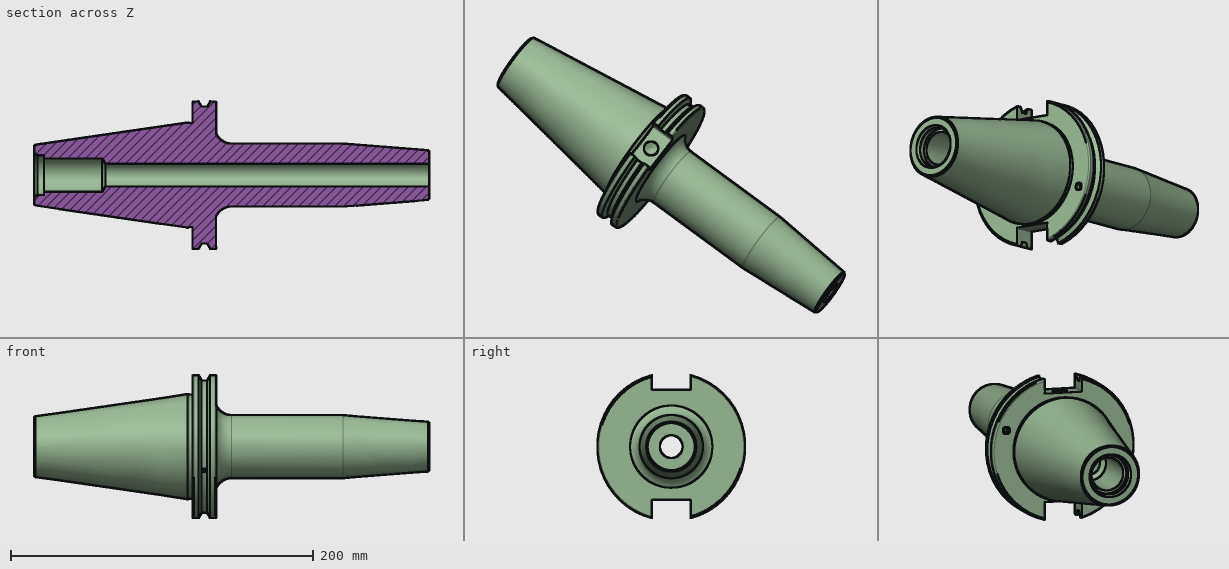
import cadquery as cq
import math


DRILL_POINT_ANGLE = 118.0

GAUGE_DIA = 69.85
TAPER_RATIO = 7 / 24
TAPER_LENGTH = 101.6
TAPER_REAR_CHAMFER = 0.8
RELIEF_DIA = 69.25
RELIEF_START_X = 1.0

FLANGE_DIA = 98.1
FLANGE_REAR_X = 3.1
FLANGE_FRONT_X = 19.05
FLANGE_EDGE_RADIUS = 1.0
GROOVE_CENTER_X = 11.1
GROOVE_FLOOR_WIDTH = 3.7
GROOVE_FLOOR_DIA = 91.3
GROOVE_FLANK_ANGLE = 30.0

PROJECTION = 160.0
NOSE_DIA = 42.0
NOSE_FILLET_RADIUS = 11.0
NOSE_FILLET_DIA = 54.5
NOSE_CONE_X = 102.8
NOSE_TIP_DIA = 33.2
NOSE_TIP_CHAMFER = 1.0

BORE_DIA = 14.92
THREAD_BORE_DIA = 21.97
THREAD_BORE_DEPTH = 45.0
COUNTERBORE_DIA = 26.2
COUNTERBORE_DEPTH = 6.5
COUNTERBORE_MOUTH_DIA = 28.8
COUNTERBORE_MOUTH_ANGLE = 30.0

SLOT_WIDTH = 25.7
SLOT_CORNER_RADIUS = 0.5
UPPER_SLOT_FLOOR_Z = 37.7
LOWER_SLOT_FLOOR_Z = -35.3
DIMPLE_DIA = 9.53
DIMPLE_DEPTH = 1.0

COOLANT_CIRCLE_DIA = 84.0
COOLANT_ANGLE = 20.0
COOLANT_DIA = 4.2
COOLANT_MOUTH_DIA = 5.0
COOLANT_SEAT_DEPTH = 4.0
COOLANT_INNER_DIA = 3.24
COOLANT_DEPTH = 10.0
OUTLET_DIA = 2.5


def drill_point_depth(radius):
    """Axial length of a drill-point cone over the given radial step."""
    return radius / math.tan(math.radians(DRILL_POINT_ANGLE / 2))


def make_body():
    """Turned outside of the holder: taper, relief, grooved flange and nose."""
    rear_x = -TAPER_LENGTH
    rear_radius = (GAUGE_DIA - TAPER_LENGTH * TAPER_RATIO) / 2
    taper_slope = TAPER_RATIO / 2
    flange_radius = FLANGE_DIA / 2
    groove_floor_radius = GROOVE_FLOOR_DIA / 2
    groove_half_floor = GROOVE_FLOOR_WIDTH / 2
    groove_depth = flange_radius - groove_floor_radius
    groove_half_mouth = groove_half_floor + groove_depth * math.tan(math.radians(GROOVE_FLANK_ANGLE))
    nose_radius = NOSE_DIA / 2
    fillet_start_radius = NOSE_FILLET_DIA / 2
    tip_radius = NOSE_TIP_DIA / 2

    fillet_center_radius = nose_radius + NOSE_FILLET_RADIUS
    start_angle = math.asin((fillet_center_radius - fillet_start_radius) / NOSE_FILLET_RADIUS)
    fillet_end_x = FLANGE_FRONT_X + NOSE_FILLET_RADIUS * math.cos(start_angle)
    middle_angle = (start_angle + math.pi / 2) / 2
    fillet_middle = (
        fillet_end_x - NOSE_FILLET_RADIUS * math.cos(middle_angle),
        fillet_center_radius - NOSE_FILLET_RADIUS * math.sin(middle_angle),
    )
    return (
        cq.Workplane("XY")
        .moveTo(rear_x, 0)
        .lineTo(rear_x, rear_radius - TAPER_REAR_CHAMFER)
        .lineTo(rear_x + TAPER_REAR_CHAMFER, rear_radius + TAPER_REAR_CHAMFER * taper_slope)
        .lineTo(0, GAUGE_DIA / 2)
        .lineTo(RELIEF_START_X, RELIEF_DIA / 2)
        .lineTo(FLANGE_REAR_X, RELIEF_DIA / 2)
        .lineTo(FLANGE_REAR_X, flange_radius - FLANGE_EDGE_RADIUS)
        .radiusArc((FLANGE_REAR_X + FLANGE_EDGE_RADIUS, flange_radius), FLANGE_EDGE_RADIUS)
        .lineTo(GROOVE_CENTER_X - groove_half_mouth, flange_radius)
        .lineTo(GROOVE_CENTER_X - groove_half_floor, groove_floor_radius)
        .lineTo(GROOVE_CENTER_X + groove_half_floor, groove_floor_radius)
        .lineTo(GROOVE_CENTER_X + groove_half_mouth, flange_radius)
        .lineTo(FLANGE_FRONT_X - FLANGE_EDGE_RADIUS, flange_radius)
        .radiusArc((FLANGE_FRONT_X, flange_radius - FLANGE_EDGE_RADIUS), FLANGE_EDGE_RADIUS)
        .lineTo(FLANGE_FRONT_X, fillet_start_radius)
        .threePointArc(fillet_middle, (fillet_end_x, nose_radius))
        .lineTo(NOSE_CONE_X, nose_radius)
        .lineTo(PROJECTION - NOSE_TIP_CHAMFER, tip_radius)
        .lineTo(PROJECTION, tip_radius - NOSE_TIP_CHAMFER)
        .lineTo(PROJECTION, 0)
        .close()
        .revolve(360, (0, 0, 0), (1, 0, 0))
    )


def make_bore():
    """Through bore with the stepped, countersunk rear end."""
    rear_x = -TAPER_LENGTH
    mouth_step = (COUNTERBORE_MOUTH_DIA - COUNTERBORE_DIA) / 2
    mouth_length = mouth_step / math.tan(math.radians(COUNTERBORE_MOUTH_ANGLE))
    cone_length = drill_point_depth((THREAD_BORE_DIA - BORE_DIA) / 2)
    return (
        cq.Workplane("XY")
        .moveTo(rear_x, 0)
        .lineTo(rear_x, COUNTERBORE_MOUTH_DIA / 2)
        .lineTo(rear_x + mouth_length, COUNTERBORE_DIA / 2)
        .lineTo(rear_x + COUNTERBORE_DEPTH, COUNTERBORE_DIA / 2)
        .lineTo(rear_x + COUNTERBORE_DEPTH, THREAD_BORE_DIA / 2)
        .lineTo(rear_x + THREAD_BORE_DEPTH, THREAD_BORE_DIA / 2)
        .lineTo(rear_x + THREAD_BORE_DEPTH + cone_length, BORE_DIA / 2)
        .lineTo(PROJECTION, BORE_DIA / 2)
        .lineTo(PROJECTION, 0)
        .close()
        .revolve(360, (0, 0, 0), (1, 0, 0))
    )


def make_drive_slot(floor_z):
    """Slot across the flange, open outward from floor_z, with rounded floor corners."""
    flange_width = FLANGE_FRONT_X - FLANGE_REAR_X
    floor_side = "<Z" if floor_z > 0 else ">Z"
    outward = math.copysign(1, floor_z)
    slot_depth = FLANGE_DIA / 2 - abs(floor_z)
    return (
        cq.Workplane("XY", origin=(FLANGE_REAR_X + flange_width / 2, 0, floor_z))
        .rect(flange_width, SLOT_WIDTH)
        .extrude(outward * slot_depth)
        .edges("|X")
        .edges(floor_side)
        .fillet(SLOT_CORNER_RADIUS)
    )


def make_dimple():
    """Drilled dimple in the floor of the upper drive slot."""
    radius = DIMPLE_DIA / 2
    return (
        cq.Workplane("XZ", origin=(GROOVE_CENTER_X, 0, UPPER_SLOT_FLOOR_Z))
        .lineTo(radius, 0)
        .lineTo(radius, -DIMPLE_DEPTH)
        .lineTo(0, -DIMPLE_DEPTH - drill_point_depth(radius))
        .close()
        .revolve(360, (0, 0, 0), (0, 1, 0))
    )


def make_coolant_passage():
    """Stepped axial hole in the +Y half of the flange with a radial outlet in the groove."""
    circle_radius = COOLANT_CIRCLE_DIA / 2
    hole_radius = COOLANT_DIA / 2
    inner_radius = COOLANT_INNER_DIA / 2
    mouth_radius = COOLANT_MOUTH_DIA / 2
    hole = (
        cq.Workplane("XY", origin=(FLANGE_REAR_X, circle_radius, 0))
        .lineTo(0, mouth_radius)
        .lineTo(mouth_radius - hole_radius, hole_radius)
        .lineTo(COOLANT_SEAT_DEPTH, hole_radius)
        .lineTo(COOLANT_SEAT_DEPTH, inner_radius)
        .lineTo(COOLANT_DEPTH, inner_radius)
        .lineTo(COOLANT_DEPTH + drill_point_depth(inner_radius), 0)
        .close()
        .revolve(360, (0, 0, 0), (1, 0, 0))
    )
    outlet = cq.Solid.makeCylinder(
        OUTLET_DIA / 2,
        FLANGE_DIA / 2 - circle_radius,
        cq.Vector(GROOVE_CENTER_X, circle_radius, 0),
        cq.Vector(0, 1, 0),
    )
    return hole.union(cq.Workplane(obj=outlet))


result = make_body().cut(make_bore())
for slot_floor_z in (UPPER_SLOT_FLOOR_Z, LOWER_SLOT_FLOOR_Z):
    result = result.cut(make_drive_slot(slot_floor_z))
result = result.cut(make_dimple())
for passage_angle in (COOLANT_ANGLE, COOLANT_ANGLE + 180):
    result = result.cut(make_coolant_passage().rotate((0, 0, 0), (1, 0, 0), passage_angle))